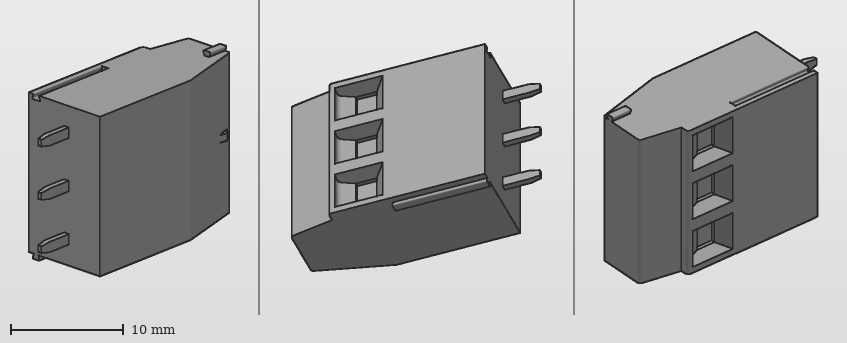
import cadquery as cq


POLE_COUNT = 3
PITCH = 5.08
POLE_HEIGHTS = [(i - (POLE_COUNT - 1) / 2) * PITCH for i in range(POLE_COUNT)]

HOUSING_WIDTH = 8.6
HOUSING_LENGTH = 19.1
HOUSING_HEIGHT = POLE_COUNT * PITCH
LEFT = -4.57
RIGHT = LEFT + HOUSING_WIDTH
STEP_WIDTH = 0.88
STEP_Y = 14.9
CREST_LEFT = LEFT + 1.63
CREST_RIGHT = LEFT + 6.64
SLOPE_START_Y = 11.8
CREST_ROUND = 0.3
STEP_ROUND = 0.35

DOVETAIL_HEIGHT = 0.5
TONGUE_ROOT = 0.54
TONGUE_TIP = 0.98
TONGUE_ROUND = 0.12
GROOVE_MOUTH = 0.54
GROOVE_FLOOR = 1.1
GROOVE_MOUTH_ROUND = 0.08
GROOVE_FLOOR_ROUND = 0.08
LONG_DOVETAIL_X = LEFT + 0.9
LONG_DOVETAIL_LENGTH = 9.0
SHORT_DOVETAIL_X = LEFT + 5.77
SHORT_DOVETAIL_LENGTH = 2.1

OPENING_BOTTOM_Y = 9.72
OPENING_TOP_Y = 14.3
OPENING_HEIGHT = 3.82
FUNNEL_DEPTH = 1.28
FUNNEL_SIDE_INSET = 0.51
FUNNEL_BOTTOM_INSET = 1.07
FUNNEL_TOP_INSET = 1.52
FUNNEL_TOP_DEPTH = 0.76
FUNNEL_ROUND = 0.5
POCKET_DEPTH = 0.38

PIN_WIDTH = 0.58
PIN_HEIGHT = 1.0
PIN_LENGTH = 3.5
PIN_TIP_LENGTH = 1.0
PIN_TIP_WIDTH = 0.4
PIN_TIP_HEIGHT = 0.64

WEDGE_X = LEFT + 7.12
WEDGE_TOP_Y = 18.25
WEDGE_SHOULDER_Y = 18.68
WEDGE_SHOULDER_X = WEDGE_X - 0.5
WEDGE_HEIGHT = 1.0
WEDGE_CHAMFER = 0.15

OVERLAP = 0.2


def slope_x(y):
    """X of the slanted +X face at the given Y."""
    rise = (y - SLOPE_START_Y) / (HOUSING_LENGTH - SLOPE_START_Y)
    return RIGHT + rise * (CREST_RIGHT - RIGHT)


def slope_y(x):
    """Y of the slanted +X face at the given X."""
    run = (RIGHT - x) / (RIGHT - CREST_RIGHT)
    return SLOPE_START_Y + run * (HOUSING_LENGTH - SLOPE_START_Y)


def make_housing():
    outline = [
        (LEFT, 0),
        (RIGHT, 0),
        (RIGHT, SLOPE_START_Y),
        (CREST_RIGHT, HOUSING_LENGTH),
        (CREST_LEFT, HOUSING_LENGTH),
        (LEFT + STEP_WIDTH, STEP_Y),
        (LEFT, STEP_Y),
    ]
    housing = (
        cq.Workplane("XY")
        .workplane(offset=-HOUSING_HEIGHT / 2)
        .polyline(outline)
        .close()
        .extrude(HOUSING_HEIGHT)
    )
    housing = housing.edges("|Z and >Y").fillet(CREST_ROUND)
    step_corner = cq.selectors.NearestToPointSelector((LEFT, STEP_Y, 0))
    return housing.edges("|Z").edges(step_corner).fillet(STEP_ROUND)


def dovetail(x, base_z, tip_z, base_width, tip_width, start_y, length):
    """Dovetail bar along +Y whose width changes from base_z to tip_z."""
    outline = [
        (x - base_width / 2, base_z),
        (x + base_width / 2, base_z),
        (x + tip_width / 2, tip_z),
        (x - tip_width / 2, tip_z),
    ]
    bar = cq.Workplane("XZ", origin=(0, start_y, 0)).polyline(outline).close()
    return bar.extrude(-length)


def tongue(x, side, start_y, length):
    """Rounded tongue on the end face at side * Z."""
    base_z = side * HOUSING_HEIGHT / 2
    tip_z = base_z + side * DOVETAIL_HEIGHT
    bar = dovetail(x, base_z, tip_z, TONGUE_ROOT, TONGUE_TIP, start_y, length)
    tip_face = ">Z" if side > 0 else "<Z"
    return bar.faces(tip_face).edges("|Y").fillet(TONGUE_ROUND)


def cut_groove(body):
    """Groove in the +Z end face that takes the long tongue of a neighbouring block."""
    mouth_z = HOUSING_HEIGHT / 2
    floor_z = mouth_z - DOVETAIL_HEIGHT
    body = body.cut(
        dovetail(LONG_DOVETAIL_X, mouth_z, floor_z, GROOVE_MOUTH, GROOVE_FLOOR, 0, LONG_DOVETAIL_LENGTH)
    )
    for side in (-1, 1):
        floor_edge = cq.selectors.NearestToPointSelector(
            (LONG_DOVETAIL_X + side * GROOVE_FLOOR / 2, LONG_DOVETAIL_LENGTH / 2, floor_z)
        )
        body = body.edges("|Y").edges(floor_edge).fillet(GROOVE_FLOOR_ROUND)
        mouth_edge = cq.selectors.NearestToPointSelector(
            (LONG_DOVETAIL_X + side * GROOVE_MOUTH / 2, LONG_DOVETAIL_LENGTH / 2, mouth_z)
        )
        body = body.edges("|Y").edges(mouth_edge).fillet(GROOVE_MOUTH_ROUND)
    return body


def make_opening(z):
    """Funnel with slanted walls that ends in a shallow straight pocket."""
    floor_x = LEFT + FUNNEL_DEPTH
    pocket_bottom_y = OPENING_BOTTOM_Y + FUNNEL_BOTTOM_INSET
    pocket_top_y = OPENING_TOP_Y - FUNNEL_TOP_INSET
    pocket_height = OPENING_HEIGHT - 2 * FUNNEL_SIDE_INSET

    side_profile = (
        cq.Workplane("XY", origin=(0, 0, z))
        .polyline([
            (LEFT, OPENING_BOTTOM_Y),
            (floor_x, pocket_bottom_y),
            (floor_x, pocket_top_y),
            (LEFT + FUNNEL_TOP_DEPTH, OPENING_TOP_Y),
            (LEFT, OPENING_TOP_Y),
        ])
        .close()
        .extrude(OPENING_HEIGHT / 2, both=True)
    )
    top_corner = cq.selectors.NearestToPointSelector((LEFT + FUNNEL_TOP_DEPTH, OPENING_TOP_Y, z))
    side_profile = side_profile.edges("|Z").edges(top_corner).fillet(FUNNEL_ROUND)

    narrowing = (
        cq.Workplane("XZ")
        .polyline([
            (LEFT, z - OPENING_HEIGHT / 2),
            (floor_x, z - pocket_height / 2),
            (floor_x, z + pocket_height / 2),
            (LEFT, z + OPENING_HEIGHT / 2),
        ])
        .close()
        .extrude(-HOUSING_LENGTH)
    )
    pocket = cq.Workplane("XY").box(
        FUNNEL_DEPTH + POCKET_DEPTH,
        pocket_top_y - pocket_bottom_y,
        pocket_height,
    )
    pocket = pocket.translate((
        LEFT + (FUNNEL_DEPTH + POCKET_DEPTH) / 2,
        (pocket_top_y + pocket_bottom_y) / 2,
        z,
    ))
    return side_profile.intersect(narrowing).union(pocket)


def make_pin(z):
    """Rectangular pin with a tapered tip, rooted inside the housing."""
    shank_length = PIN_LENGTH - PIN_TIP_LENGTH
    shank = (
        cq.Workplane("XZ", origin=(0, OVERLAP, z))
        .rect(PIN_WIDTH, PIN_HEIGHT)
        .extrude(shank_length + OVERLAP)
    )
    tip = (
        cq.Workplane("XZ", origin=(0, -shank_length, z))
        .rect(PIN_WIDTH, PIN_HEIGHT)
        .workplane(offset=PIN_TIP_LENGTH)
        .rect(PIN_TIP_WIDTH, PIN_TIP_HEIGHT)
        .loft()
    )
    return shank.union(tip)


def make_wedge():
    """Small wedge on the slanted face, its outer side parallel to Y."""
    outline = [
        (WEDGE_X, WEDGE_TOP_Y),
        (WEDGE_SHOULDER_X, WEDGE_SHOULDER_Y),
        (slope_x(WEDGE_SHOULDER_Y) - OVERLAP, slope_y(WEDGE_X)),
        (WEDGE_X, slope_y(WEDGE_X)),
    ]
    wedge = cq.Workplane("XY").polyline(outline).close().extrude(WEDGE_HEIGHT / 2, both=True)
    return wedge.faces(">X").edges("not |Z").chamfer(WEDGE_CHAMFER)


result = cut_groove(make_housing())
for pole_z in POLE_HEIGHTS:
    result = result.cut(make_opening(pole_z)).union(make_pin(pole_z))
result = result.union(tongue(LONG_DOVETAIL_X, -1, 0, LONG_DOVETAIL_LENGTH))
short_tongue_y = HOUSING_LENGTH - SHORT_DOVETAIL_LENGTH
result = result.union(tongue(SHORT_DOVETAIL_X, 1, short_tongue_y, SHORT_DOVETAIL_LENGTH))
result = result.union(make_wedge())